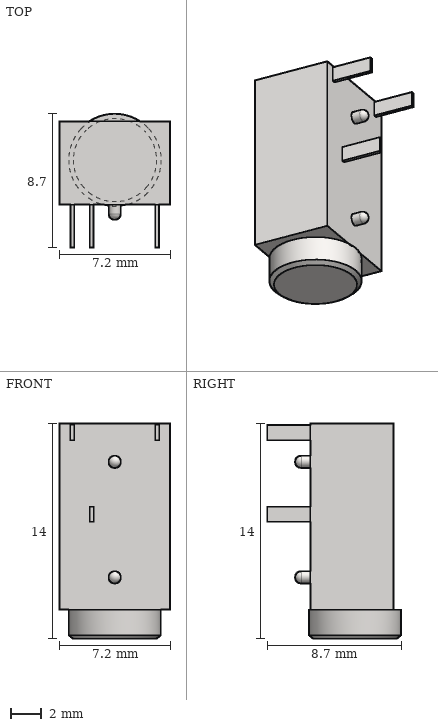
import cadquery as cq

body_width = 7.2
body_depth = 5.4
body_height = 12.1

collar_diameter = 6.0
collar_height = 1.9
collar_axis_y = 2.9
collar_chamfer_height = 0.25
collar_chamfer_inset = 0.3

terminal_thickness = 0.25
terminal_height = 1.0
terminal_length = 2.8
upper_terminal_x = 2.75
upper_terminal_z = body_height - 0.6
middle_terminal_x = -1.5
middle_terminal_z = body_height - 5.9

peg_diameter = 0.8
peg_length = 1.0
upper_peg_z = body_height - 2.5
peg_spacing = 7.5

root_depth = 0.5


def make_body():
    return cq.Workplane("XY").box(body_width, body_depth, body_height, centered=(True, False, False))


def make_collar():
    """Cylinder hanging from the housing floor, bevelled at its lower rim."""
    return (
        cq.Workplane("XY")
        .center(0, collar_axis_y)
        .circle(collar_diameter / 2)
        .extrude(-collar_height)
        .faces("<Z")
        .chamfer(collar_chamfer_height, collar_chamfer_inset)
    )


def make_terminal(x, z):
    """Flat blade pointing along -Y, centred on (x, z)."""
    return (
        cq.Workplane("XZ", origin=(x, root_depth, z))
        .rect(terminal_thickness, terminal_height)
        .extrude(root_depth + terminal_length)
    )


def make_peg(z):
    """Round peg pointing along -Y with a hemispherical nose."""
    radius = peg_diameter / 2
    nose_start = peg_length - radius
    shank = (
        cq.Workplane("XZ", origin=(0, root_depth, z))
        .circle(radius)
        .extrude(root_depth + nose_start)
    )
    nose = cq.Workplane("XY", origin=(0, -nose_start, z)).sphere(radius)
    return shank.union(nose)


result = make_body().union(make_collar())

terminal_places = [
    (-upper_terminal_x, upper_terminal_z),
    (upper_terminal_x, upper_terminal_z),
    (middle_terminal_x, middle_terminal_z),
]
for terminal_x, terminal_z in terminal_places:
    result = result.union(make_terminal(terminal_x, terminal_z))

for peg_z in (upper_peg_z, upper_peg_z - peg_spacing):
    result = result.union(make_peg(peg_z))